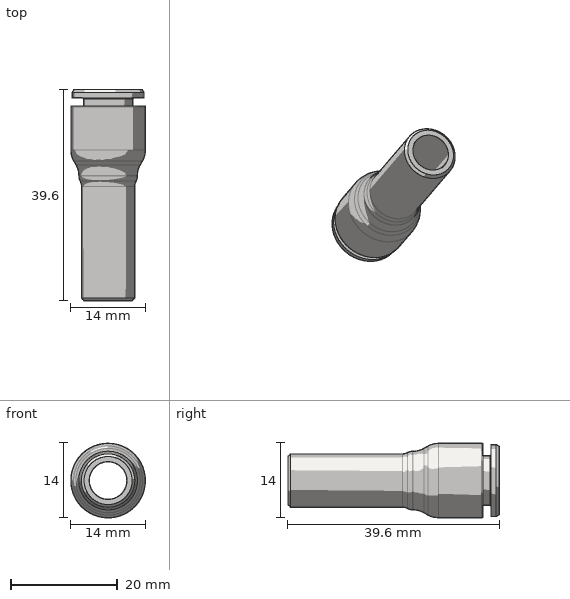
import cadquery as cq
import math

total_length = 39.6
bore_radius = 7.0 / 2

stem_radius = 10.0 / 2
tip_chamfer = 0.5

collar_radius = 13.5 / 2
collar_width = 1.6
collar_chamfer_radial = 0.35
collar_chamfer_axial = 0.6
neck_radius = 9.3 / 2
neck_chamfer = 0.2

body_radius = 14.0 / 2
body_rear_depth = 3.1
body_rear_chamfer_radial = 0.05
body_rear_chamfer_axial = 0.25
body_straight_end_depth = 11.4

land_radius = 11.0 / 2
land_width = 0.1
shoulder_arc_radius = 4.0
shoulder_angle = math.radians(30)

blend_arc_radius = 2.0


def arc_drop(radius, angle):
    """Radial change along an arc that starts parallel to the axis."""
    return radius * (1 - math.cos(angle))


def arc_run(radius, angle):
    """Axial length of an arc that starts parallel to the axis."""
    return radius * math.sin(angle)


shoulder_arc_drop = arc_drop(shoulder_arc_radius, shoulder_angle)
shoulder_arc_run = arc_run(shoulder_arc_radius, shoulder_angle)
cone_drop = body_radius - land_radius - 2 * shoulder_arc_drop
cone_run = cone_drop / math.tan(shoulder_angle)

blend_half_step = (land_radius - stem_radius) / 2
blend_angle = math.acos(1 - blend_half_step / blend_arc_radius)

tip_y = body_rear_depth - total_length
collar_end_y = body_rear_depth
collar_inner_y = collar_end_y - collar_width
body_straight_end_y = body_rear_depth - body_straight_end_depth
land_start_y = body_straight_end_y - 2 * shoulder_arc_run - cone_run
land_end_y = land_start_y - land_width
blend_end_y = land_end_y - 2 * arc_run(blend_arc_radius, blend_angle)


def add_convex_arc(profile, start_radius, start_y, arc_radius, angle):
    """Arc that leaves a cylinder and curves inwards going towards -Y."""
    return profile.threePointArc(
        (start_radius - arc_drop(arc_radius, angle / 2), start_y - arc_run(arc_radius, angle / 2)),
        (start_radius - arc_drop(arc_radius, angle), start_y - arc_run(arc_radius, angle)),
    )


def add_concave_arc(profile, end_radius, end_y, arc_radius, angle):
    """Arc going towards -Y that runs out tangent onto a smaller cylinder."""
    return profile.threePointArc(
        (end_radius + arc_drop(arc_radius, angle / 2), end_y + arc_run(arc_radius, angle / 2)),
        (end_radius, end_y),
    )


def add_collar_and_neck(profile):
    """Collar with a chamfered end face, then the neck down to the body's rear face."""
    return (
        profile.lineTo(collar_radius - collar_chamfer_radial, collar_end_y)
        .lineTo(collar_radius, collar_end_y - collar_chamfer_axial)
        .lineTo(collar_radius, collar_inner_y)
        .lineTo(neck_radius + neck_chamfer, collar_inner_y)
        .lineTo(neck_radius, collar_inner_y - neck_chamfer)
        .lineTo(neck_radius, 0)
    )


def add_body(profile):
    """Straight body with a narrow chamfer on its rear rim."""
    return (
        profile.lineTo(body_radius - body_rear_chamfer_radial, 0)
        .lineTo(body_radius, -body_rear_chamfer_axial)
        .lineTo(body_radius, body_straight_end_y)
    )


def add_shoulder(profile):
    """Convex arc, tangent cone and concave arc, then the short land."""
    profile = add_convex_arc(
        profile, body_radius, body_straight_end_y, shoulder_arc_radius, shoulder_angle
    )
    profile = profile.lineTo(land_radius + shoulder_arc_drop, land_start_y + shoulder_arc_run)
    profile = add_concave_arc(
        profile, land_radius, land_start_y, shoulder_arc_radius, shoulder_angle
    )
    return profile.lineTo(land_radius, land_end_y)


def add_blend(profile):
    """Convex arc running straight into a concave arc, from the land to the stem."""
    profile = add_convex_arc(profile, land_radius, land_end_y, blend_arc_radius, blend_angle)
    return add_concave_arc(profile, stem_radius, blend_end_y, blend_arc_radius, blend_angle)


def add_stem(profile):
    """Straight stem with a chamfered tip."""
    return (
        profile.lineTo(stem_radius, tip_y + tip_chamfer)
        .lineTo(stem_radius - tip_chamfer, tip_y)
        .lineTo(bore_radius, tip_y)
    )


def make_fitting():
    """Revolve the wall section around the Y axis, leaving the bore open from end to end."""
    profile = cq.Workplane("XY").moveTo(bore_radius, collar_end_y)
    profile = add_collar_and_neck(profile)
    profile = add_body(profile)
    profile = add_shoulder(profile)
    profile = add_blend(profile)
    profile = add_stem(profile)
    return profile.close().revolve(360, (0, 0, 0), (0, 1, 0))


result = make_fitting()